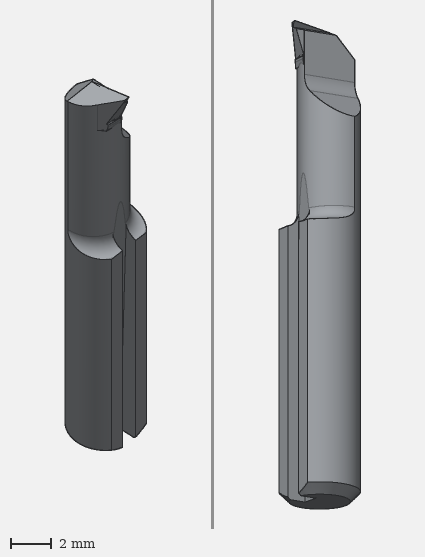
import cadquery as cq
import math

total_length = 24.0
shank_radius = 2.0
shank_flat_x = 1.55
end_chamfer = 0.5

neck_radius = 1.8
neck_right_x = 0.965
neck_axis_x = neck_right_x - neck_radius
shoulder_fillet = 0.82
neck_start_z = 14.57

slot_width = 0.95
slot_exit_z = 16.4
slot_tilt = math.radians(1.5)

rake_flat_y = 0.1
relief_end_z = 21.35
relief_radius = 1.25
relief_angle = math.radians(45)

tip_x = 1.5
tooth_face_y = 0.05
tooth_inner_x = 0.53
tooth_inner_bottom_z = 22.0
tooth_outer_bottom_z = 21.85
tooth_heel_x = 1.02
tooth_heel_low_z = 22.15
tooth_heel_high_z = 22.28
flank_foot_z = 22.34
nose_height = 0.15
side_clearance = math.radians(8)

end_slope_x = 0.105
end_slope_y = 0.16

bevel_start_z = 22.48
bevel_slope_y = 0.07

groove_root_y = -0.19
groove_root_z = 23.72
groove_bottom_z = 23.57

margin = 5.0


def prism_along_x(points):
    """Prism through the whole part from a (Y, Z) polygon."""
    return cq.Workplane("YZ").polyline(points).close().extrude(margin, both=True)


def space_above(height, slope_x, slope_y):
    """Block above the plane z = height + slope_x * x + slope_y * y."""
    plane = cq.Plane(origin=(0, 0, height), xDir=(1, 0, slope_x), normal=(-slope_x, -slope_y, 1))
    block_side = 4 * margin
    return cq.Workplane(plane).rect(block_side, block_side).extrude(margin)


def shank():
    body = cq.Workplane("XY").circle(shank_radius).extrude(total_length)
    body = body.faces("<Z").chamfer(end_chamfer)
    beyond_flat = (
        cq.Workplane("XY")
        .box(margin, 2 * margin, total_length, centered=(False, True, False))
        .translate((shank_flat_x, 0, 0))
    )
    return body.cut(beyond_flat)


def neck_cut():
    """Half ring around the offset neck axis, with a concave fillet at the shoulder."""
    fillet_drop = shoulder_fillet * math.sin(math.pi / 4)
    fillet_center_x = neck_radius + shoulder_fillet
    profile = (
        cq.Workplane("XZ", origin=(neck_axis_x, 0, 0))
        .moveTo(neck_radius, total_length)
        .lineTo(neck_radius, neck_start_z)
        .threePointArc(
            (fillet_center_x - fillet_drop, neck_start_z - fillet_drop),
            (fillet_center_x, neck_start_z - shoulder_fillet),
        )
        .lineTo(margin, neck_start_z - shoulder_fillet)
        .lineTo(margin, total_length)
        .close()
    )
    ring = profile.revolve(360, (0, 0, 0), (0, 1, 0))
    right_side = (
        cq.Workplane("XY")
        .box(2 * margin, 4 * margin, total_length, centered=(False, True, False))
        .translate((neck_axis_x, 0, 0))
    )
    return ring.intersect(right_side)


def coolant_slot():
    floor_bottom_x = neck_right_x - slot_exit_z * math.tan(slot_tilt)
    profile = [
        (floor_bottom_x, 0),
        (neck_right_x, slot_exit_z),
        (margin, slot_exit_z),
        (margin, 0),
    ]
    return cq.Workplane("XZ").polyline(profile).close().extrude(slot_width / 2, both=True)


def relief_cut():
    """Removes the +Y half above a rounded, sloping run-out."""
    arc_center_y = rake_flat_y + relief_radius
    half_angle = relief_angle / 2
    arc_end_y = arc_center_y - relief_radius * math.cos(relief_angle)
    arc_end_z = relief_end_z - relief_radius * math.sin(relief_angle)
    runout_z = arc_end_z - (margin - arc_end_y) / math.tan(relief_angle)
    top_z = total_length + margin
    return (
        cq.Workplane("YZ")
        .moveTo(rake_flat_y, top_z)
        .lineTo(rake_flat_y, relief_end_z)
        .threePointArc(
            (
                arc_center_y - relief_radius * math.cos(half_angle),
                relief_end_z - relief_radius * math.sin(half_angle),
            ),
            (arc_end_y, arc_end_z),
        )
        .lineTo(margin, runout_z)
        .lineTo(margin, top_z)
        .close()
        .extrude(margin, both=True)
    )


def tooth():
    """Tooth standing out of the neck to the tip, narrowing towards -Y."""
    back_y = -math.sqrt(neck_radius**2 - (tooth_inner_x - neck_axis_x) ** 2)
    back_outer_y = back_y + tip_x - tooth_inner_x
    plan = [
        (0, tooth_face_y),
        (tip_x, tooth_face_y),
        (tip_x, back_outer_y),
        (tooth_inner_x, back_y),
        (0, back_y),
    ]
    plan_prism = cq.Workplane("XY").polyline(plan).close().extrude(total_length)

    side_profile = [
        (0, total_length),
        (tip_x, total_length),
        (tip_x, total_length - nose_height),
        (neck_right_x, flank_foot_z),
        (tooth_heel_x, tooth_heel_high_z),
        (tooth_heel_x, tooth_heel_low_z),
        (neck_right_x, tooth_outer_bottom_z),
        (tooth_inner_x, tooth_inner_bottom_z),
        (0, tooth_inner_bottom_z),
    ]
    depth = tooth_face_y - back_y
    shift = depth * math.tan(side_clearance)
    front_wire = cq.Wire.makePolygon(
        [cq.Vector(x, tooth_face_y, z) for x, z in side_profile], close=True
    )
    back_wire = cq.Wire.makePolygon(
        [cq.Vector(x - shift, back_y, z) for x, z in side_profile], close=True
    )
    side_prism = cq.Workplane(cq.Solid.makeLoft([front_wire, back_wire], True))
    return plan_prism.intersect(side_prism)


def chip_groove():
    return prism_along_x([
        (tooth_face_y, total_length),
        (groove_root_y, groove_root_z),
        (rake_flat_y, groove_bottom_z),
        (margin, groove_bottom_z),
        (margin, total_length),
    ])


end_height = total_length - end_slope_x * tip_x - end_slope_y * tooth_face_y
bevel_height = bevel_start_z + shank_radius

result = (
    shank()
    .cut(neck_cut())
    .cut(coolant_slot())
    .cut(relief_cut())
    .union(tooth())
    .cut(space_above(end_height, end_slope_x, end_slope_y))
    .cut(space_above(bevel_height, 1.0, bevel_slope_y))
    .cut(chip_groove())
)